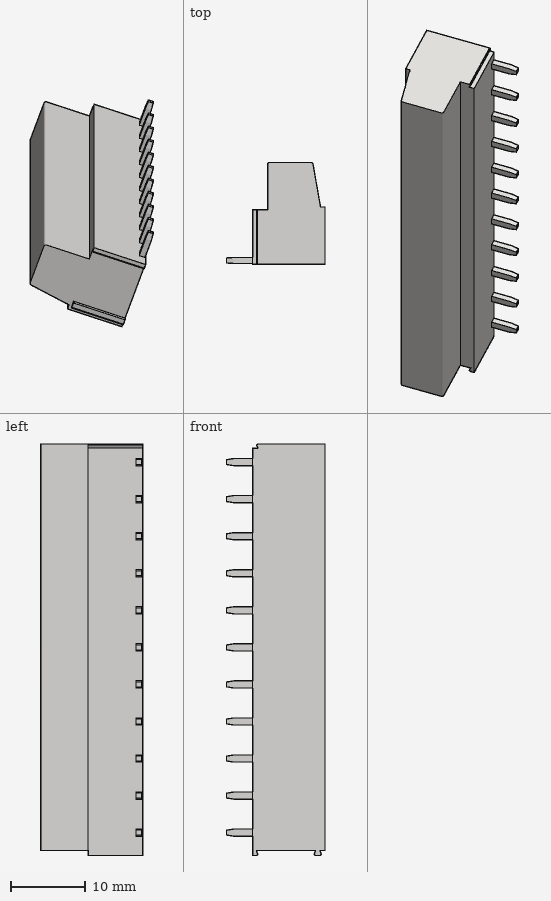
import cadquery as cq

total_height = 55.6
total_depth = 13.8
right_x = 13.35

base_left_x = 3.55
base_depth = 7.4
tower_left_x = 5.55
tower_top_right_x = 11.7
slope_foot_x = 12.75
shoulder_depth = 7.8
tower_corner_radius = 0.3
housing_bottom_z = 0.65

groove_height = 0.55
hook_width = 0.5
hook_lip_width = 0.7
hook_tip_chamfer = 0.15
groove_lip_width = 0.5
groove_lead_in = 0.15
groove_lead_in_height = 0.15

foot_center_x = 12.35
foot_root_width = 0.65
foot_lip_width = 1.0

pin_count = 11
pin_pitch = 5.0
first_pin_z = 3.1
pin_height = 1.0
pin_depth = 0.85
pin_front_y = 0.1
pin_tip_height = 0.65
pin_tip_depth = 0.7
pin_tip_length = 1.0
pin_embed = 0.55


def extrude_along_y(points, depth):
    """Extrude an XZ outline from the front face towards +Y."""
    return cq.Workplane("XZ").polyline(points).close().extrude(-depth)


def make_housing():
    outline = [
        (base_left_x, 0),
        (right_x, 0),
        (right_x, shoulder_depth),
        (slope_foot_x, shoulder_depth),
        (tower_top_right_x, total_depth),
        (tower_left_x, total_depth),
        (tower_left_x, base_depth),
        (base_left_x, base_depth),
    ]
    housing = (
        cq.Workplane("XY", origin=(0, 0, housing_bottom_z))
        .polyline(outline)
        .close()
        .extrude(total_height - housing_bottom_z)
    )
    back_edges = housing.faces(">Y").edges("|Z")
    return back_edges.fillet(tower_corner_radius)


def make_groove():
    groove_z = total_height - groove_height
    lip_x = base_left_x + groove_lip_width
    return extrude_along_y(
        [
            (base_left_x, total_height),
            (base_left_x, groove_z),
            (base_left_x + hook_lip_width, groove_z),
            (lip_x, total_height - groove_lead_in_height),
            (lip_x + groove_lead_in, total_height),
        ],
        base_depth,
    )


def make_hook():
    lip_x = base_left_x + hook_lip_width
    return extrude_along_y(
        [
            (base_left_x, housing_bottom_z),
            (base_left_x, 0),
            (lip_x - hook_tip_chamfer, 0),
            (lip_x, hook_tip_chamfer),
            (base_left_x + hook_width, housing_bottom_z),
        ],
        base_depth,
    )


def make_foot():
    root_left_x = foot_center_x - foot_root_width / 2
    root_right_x = foot_center_x + foot_root_width / 2
    lip_left_x = foot_center_x - foot_lip_width / 2
    lip_right_x = foot_center_x + foot_lip_width / 2
    return extrude_along_y(
        [
            (root_left_x, housing_bottom_z),
            (lip_left_x, hook_tip_chamfer),
            (lip_left_x + hook_tip_chamfer, 0),
            (lip_right_x - hook_tip_chamfer, 0),
            (lip_right_x, hook_tip_chamfer),
            (root_right_x, housing_bottom_z),
        ],
        base_depth,
    )


def make_pin(center_z):
    center_y = pin_front_y + pin_depth / 2
    shank_end = base_left_x + pin_embed
    shank = (
        cq.Workplane("YZ", origin=(pin_tip_length, center_y, center_z))
        .rect(pin_depth, pin_height)
        .extrude(shank_end - pin_tip_length)
    )
    tip = (
        cq.Workplane("YZ", origin=(0, center_y, center_z))
        .rect(pin_tip_depth, pin_tip_height)
        .workplane(offset=pin_tip_length)
        .rect(pin_depth, pin_height)
        .loft()
    )
    return shank.union(tip)


result = make_housing().cut(make_groove()).union(make_hook()).union(make_foot())
for index in range(pin_count):
    result = result.union(make_pin(first_pin_z + index * pin_pitch))